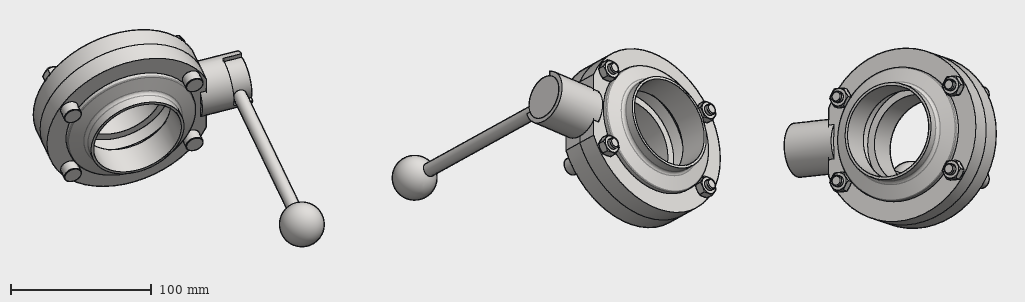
import cadquery as cq
import math


flange_diameter = 125.0
flange_thickness = 15.0
flange_flat_y = 57.4
collar_diameter = 96.5
collar_reach = 18.7
collar_edge_radius = 0.8
cone_slope = 14.0
neck_fillet_radius = 2.8
pipe_outer_diameter = 70.0
pipe_bore_diameter = 66.0
pipe_reach = 31.0
neck_reach = collar_reach + (collar_diameter - pipe_outer_diameter) / 2 * math.tan(math.radians(cone_slope))

seat_middle_diameter = 82.0
seat_wall_diameter = 77.0
seat_half_width = 8.0

bolt_y = 45.8
bolt_z = 30.5
head_diameter = 13.0
head_height = 8.3
head_edge_chamfer = 0.4
nut_across_flats = 13.0
nut_across_corners = nut_across_flats / math.cos(math.radians(30))
nut_height = 6.5
nut_chamfer_height = 0.5
nut_chamfer_width = 1.2
bolt_diameter = 8.0
bolt_tip_height = 9.8
bolt_tip_chamfer = 0.8

sleeve_diameter = 39.0
sleeve_bottom_y = 52.9
sleeve_top_y = 91.2
stem_diameter = 32.0
stem_top_y = 91.4

window_bottom_y = 76.6
window_margin = 5.9
window_corner_radius = 1.5

rod_diameter = 10.0
knob_diameter = 32.0
overall_length = 196.5
overall_width = 160.7
lever_y = overall_width - flange_diameter / 2 - knob_diameter / 2
knob_x = overall_length - pipe_reach - knob_diameter / 2


def bolt_positions():
    """(y, z) of the four bolts, symmetric about both axes."""
    return [(side * bolt_y, level * bolt_z) for side in (-1, 1) for level in (-1, 1)]


def y_cylinder(diameter, start_y, end_y):
    """A cylinder on the stem axis."""
    return cq.Workplane("XZ", origin=(0, start_y, 0)).circle(diameter / 2).extrude(start_y - end_y)


def plain_half():
    """The +X half without bolt ends: flange, collar, cone and pipe end around an open bore."""
    half = (
        cq.Workplane("XY")
        .moveTo(0, seat_middle_diameter / 2)
        .lineTo(0, flange_diameter / 2)
        .lineTo(flange_thickness, flange_diameter / 2)
        .lineTo(flange_thickness, collar_diameter / 2)
        .lineTo(collar_reach, collar_diameter / 2)
        .lineTo(neck_reach, pipe_outer_diameter / 2)
        .lineTo(pipe_reach, pipe_outer_diameter / 2)
        .lineTo(pipe_reach, pipe_bore_diameter / 2)
        .lineTo(seat_half_width, pipe_bore_diameter / 2)
        .lineTo(seat_half_width, seat_wall_diameter / 2)
        .close()
        .revolve(360, (0, 0, 0), (1, 0, 0))
    )
    half = half.edges(cq.NearestToPointSelector((neck_reach, 0, 0))).fillet(neck_fillet_radius)
    half = half.edges(cq.NearestToPointSelector((collar_reach, 0, 0))).fillet(collar_edge_radius)
    beyond_flat = cq.Workplane("XY").box(pipe_reach, flange_diameter, flange_diameter, centered=(False, False, True))
    return half.cut(beyond_flat.translate((0, flange_flat_y, 0)))


def bolt_heads():
    """Round bolt heads that stand on the +X flange face."""
    heads = (
        cq.Workplane("YZ", origin=(flange_thickness, 0, 0))
        .pushPoints(bolt_positions())
        .circle(head_diameter / 2)
        .extrude(head_height)
    )
    return heads.faces(">X").edges().chamfer(head_edge_chamfer)


def nuts():
    """Hexagon nuts with both rims chamfered, and the bolt tips through them, on the -X flange face."""
    face = cq.Workplane("YZ", origin=(-flange_thickness, 0, 0)).pushPoints(bolt_positions())
    hexagons = face.polygon(6, nut_across_corners).extrude(-nut_height)
    rims = (
        face.circle(nut_across_corners / 2)
        .extrude(-nut_height)
        .faces("<X or >X")
        .edges()
        .chamfer(nut_chamfer_height, nut_chamfer_width)
    )
    tips = face.circle(bolt_diameter / 2).extrude(-bolt_tip_height)
    tips = tips.faces("<X").edges().chamfer(bolt_tip_chamfer)
    return hexagons.intersect(rims).union(tips)


def make_sleeve():
    """Sleeve around the stem, slotted to straddle the flanges and cut open for the lever."""
    sleeve = y_cylinder(sleeve_diameter, sleeve_bottom_y, sleeve_top_y)
    sleeve = sleeve.cut(y_cylinder(stem_diameter, sleeve_bottom_y, sleeve_top_y))
    flange_slot = cq.Workplane("XY").box(2 * flange_thickness, 2 * flange_flat_y, sleeve_diameter)
    window = (
        cq.Workplane("XY")
        .box(sleeve_diameter, sleeve_diameter, sleeve_diameter, centered=False)
        .edges("(<X and <Y) or (<Z and <Y)")
        .fillet(window_corner_radius)
        .translate((-window_margin, window_bottom_y, -window_margin))
    )
    return sleeve.cut(flange_slot).cut(window)


def make_stem():
    """Solid stem that fills the sleeve and stands on the flange flat."""
    return y_cylinder(stem_diameter, flange_flat_y, stem_top_y)


def make_lever():
    """Rod that starts on the round side of the stem and ends in the ball knob."""
    rod = cq.Workplane("YZ", origin=(0, lever_y, 0)).circle(rod_diameter / 2).extrude(knob_x)
    knob = cq.Workplane("XY").sphere(knob_diameter / 2).rotate((0, 0, 0), (0, 1, 0), 90)
    return rod.cut(make_stem()).union(knob.translate((knob_x, lever_y, 0)))


head_side_half = plain_half().union(bolt_heads())
nut_side_half = plain_half().mirror("YZ").union(nuts())
sleeve = make_sleeve()
stem = make_stem()
lever = make_lever()

result = cq.Compound.makeCompound(
    [head_side_half.val(), nut_side_half.val(), sleeve.val(), stem.val(), lever.val()]
)